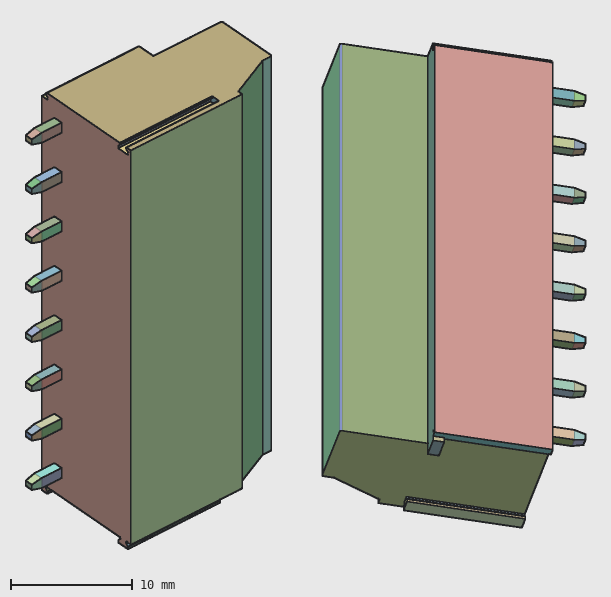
import cadquery as cq

width = 11.2
depth = 20.55
height = 41.1

body_bottom = 1.1
front_y = 3.15
shoulder_y = 13.15
rear_left_x = 2.42
slope_start_x = 8.75
slope_start_y = 19.52
slope_end_x = 10.73
slope_end_y = 15.2
rear_corner_radius = 0.15

joint_depth = 0.65
joint_flank_start = 0.12
joint_flank_end = 0.4
lip_root_x = 0.6
lip_neck_x = 0.5
lip_tip_x = 0.7
dovetail_centre_x = 10.25
dovetail_root_half = 0.4
dovetail_neck_half = 0.33
dovetail_head_half = 0.6

lug_left_x = 0.55
lug_right_x = 2.42
lug_length = 0.95

pin_count = 8
pin_centre_x = 2.05
pin_width = 0.9
pin_height = 1.03
pin_tip_length = 1.0
pin_tip_width = 0.8
pin_tip_height = 0.55
first_pin_z = 3.58
pin_row_length = 35.0
pin_pitch = pin_row_length / (pin_count - 1)


def make_housing():
    """Block with a stepped left side and a sloped right rear corner."""
    outline = (
        cq.Workplane("XY", origin=(0, 0, body_bottom))
        .moveTo(0, front_y)
        .lineTo(width, front_y)
        .lineTo(width, slope_end_y)
        .lineTo(slope_end_x, slope_end_y)
        .lineTo(slope_start_x, slope_start_y)
        .lineTo(slope_start_x, depth)
        .lineTo(rear_left_x, depth)
        .lineTo(rear_left_x, shoulder_y)
        .lineTo(0, shoulder_y)
        .close()
    )
    housing = outline.extrude(height - body_bottom)
    return housing.edges("|Z and >Y").fillet(rear_corner_radius)


def extrude_joint(points):
    """Extrude an XZ profile from the front face back to the shoulder."""
    plane = cq.Workplane("XZ", origin=(0, shoulder_y, 0))
    return plane.polyline(points).close().extrude(shoulder_y - front_y)


def make_lip(root_z):
    """Corner lip reaching down from root_z, narrowing to a neck and widening again to its tip."""
    return extrude_joint([
        (0, root_z),
        (lip_root_x, root_z),
        (lip_neck_x, root_z - joint_flank_start),
        (lip_tip_x, root_z - joint_flank_end),
        (lip_tip_x, root_z - joint_depth),
        (0, root_z - joint_depth),
    ])


def make_dovetail(root_z):
    """Dovetail bar with a flared root, reaching down from root_z and widest at its far end."""
    right_side = [
        (dovetail_root_half, root_z),
        (dovetail_neck_half, root_z - joint_flank_start),
        (dovetail_head_half, root_z - joint_flank_end),
        (dovetail_head_half, root_z - joint_depth),
    ]
    right = [(dovetail_centre_x + x, z) for x, z in right_side]
    left = [(dovetail_centre_x - x, z) for x, z in reversed(right_side)]
    return extrude_joint(right + left)


def make_lug():
    """Small rectangular lug under the housing, flush with the shoulder."""
    return cq.Workplane("XY").box(
        lug_right_x - lug_left_x, lug_length, body_bottom, centered=False
    ).translate((lug_left_x, shoulder_y - lug_length, 0))


def make_pin(centre_z):
    """Rectangular pin with a tapered tip pointing toward -Y."""
    shank = (
        cq.Workplane("XZ", origin=(pin_centre_x, front_y, centre_z))
        .rect(pin_width, pin_height)
        .extrude(front_y - pin_tip_length)
    )
    tip = (
        cq.Workplane("XZ", origin=(pin_centre_x, pin_tip_length, centre_z))
        .rect(pin_width, pin_height)
        .workplane(offset=pin_tip_length)
        .rect(pin_tip_width, pin_tip_height)
        .loft()
    )
    return shank.union(tip)


result = make_housing().cut(make_lip(height)).cut(make_dovetail(height))
result = result.union(make_lip(body_bottom)).union(make_dovetail(body_bottom))
result = result.union(make_lug())
for index in range(pin_count):
    result = result.union(make_pin(first_pin_z + index * pin_pitch))